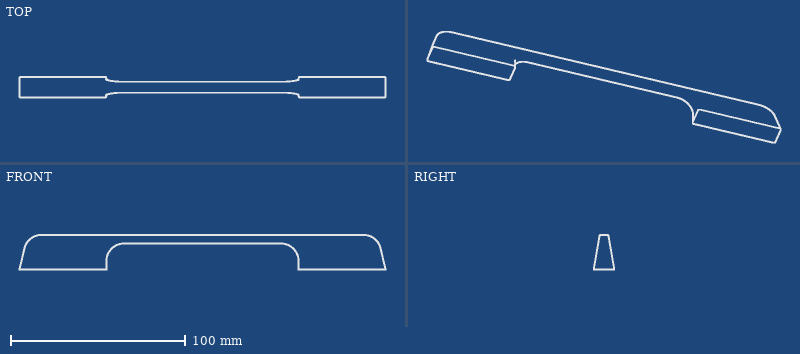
import cadquery as cq
import math

length = 210.0
base_width = 12.0
height = 20.0

end_lean = 13.4
top_width = 5.0
end_radius = 10.0
edge_radius = 1.0

foot_length = 50.0
opening_height = 15.0
opening_radius = 10.0

top_length = length - 2 * height * math.tan(math.radians(end_lean))
opening_length = length - 2 * foot_length


def side_outline():
    """Outline in XZ with leaning ends, extruded across the base width."""
    blank = (
        cq.Workplane("XZ")
        .polyline([
            (-length / 2, 0),
            (length / 2, 0),
            (top_length / 2, height),
            (-top_length / 2, height),
        ])
        .close()
        .extrude(base_width / 2, both=True)
    )
    return blank.edges("|Y and >Z").fillet(end_radius)


def tapered_section():
    """Cross-section in YZ that narrows upwards, extruded along the handle."""
    return (
        cq.Workplane("YZ")
        .polyline([
            (-base_width / 2, 0),
            (base_width / 2, 0),
            (top_width / 2, height),
            (-top_width / 2, height),
        ])
        .close()
        .extrude(length / 2, both=True)
    )


def finger_opening():
    """Opening through the handle, rounded at its upper corners."""
    block = cq.Workplane("XY").box(
        opening_length, 2 * base_width, opening_height, centered=(True, True, False)
    )
    return block.edges("|Y and >Z").fillet(opening_radius)


handle = side_outline().intersect(tapered_section()).cut(finger_opening())

flank_edges = handle.edges("not(|Y)").edges("not(<Z)")
result = flank_edges.fillet(edge_radius)